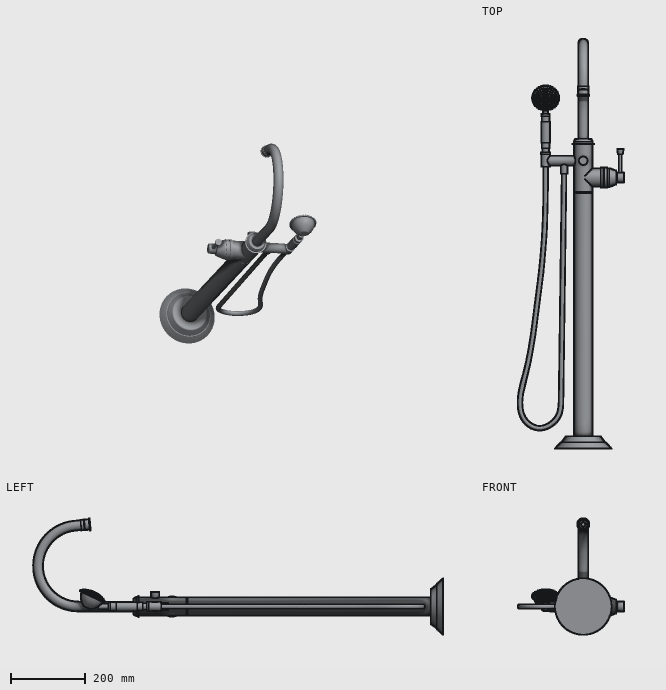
import math

import cadquery as cq

OVERALL_LENGTH = 1099.88
COLUMN_RADIUS = 25.0

BASE_RADIUS = 76.1
BASE_STEP_RADIUS = 61.0
BASE_TOP_RADIUS = 47.0
BASE_STEP_Y = 16.5
BASE_TOP_Y = 33.0
BASE_LEDGE = 2.0
BASE_EDGE_FILLET = 4.0

JOINT_Y = 684.5
JOINT_WIDTH = 4.0
JOINT_DEPTH = 0.6
FLANGE_Y = 816.0
FLANGE_THICKNESS = 2.0
FLANGE_RADIUS = 29.0
COLLAR_RADIUS = 26.0
COLLAR_TOP_RADIUS = 21.0
COLLAR_SHOULDER_Y = 823.0
COLLAR_TOP_Y = 831.0

SPOUT_RADIUS = 13.5
BEND_RADIUS = 108.7
BEND_ANGLE = 175.0
NOZZLE_LENGTH = 41.0
NOZZLE_BODY_START = 16.0
NOZZLE_BODY_RADIUS = 14.5
NOZZLE_GROOVE_START = 24.0
NOZZLE_GROOVE_END = 26.0
NOZZLE_LIP_THICKNESS = 3.0
NOZZLE_LIP_RADIUS = 16.6
AERATOR_OUTER_RADIUS = 12.0
AERATOR_HUB_RADIUS = 5.5
AERATOR_DEPTH = 3.0
AERATOR_SPOKE_WIDTH = 2.0

ARM_Y = 772.0
BUTTON_RADIUS = 11.5
BUTTON_TOP_Z = 39.5
ARM_RADIUS = 13.5
ARM_TIP_RADIUS = 10.0
ARM_TIP_LENGTH = 12.0

HANDSET_X = -101.0
HOLDER_RADIUS = 12.2
HOLDER_BOTTOM_Y = 756.0
HOLDER_RIM_Y = 790.0
HOLDER_TOP_Y = 795.0
HOLDER_RIM_RADIUS = 12.9
HANDLE_TAIL_RADIUS = 9.2
HANDLE_TAIL_Y = 806.0
HANDLE_COLLAR_RADIUS = 10.9
GRIP_RADIUS = 12.0
GRIP_BOTTOM_Y = 820.0
GRIP_TOP_Y = 876.0
HANDLE_RING_Y = 892.0
HANDLE_RING_RADIUS = 11.7
HANDLE_TOP_Y = 898.0
NECK_RADIUS = 7.0
NECK_TOP_Y = 925.0

HEAD_Y = 939.5
HEAD_Z = 29.5
HEAD_TILT = 25.0
HEAD_RADIUS = 35.3
HEAD_RIM_THICKNESS = 4.0
HEAD_BOWL_RADIUS = 32.0
HEAD_BACK_RADIUS = 10.0
HEAD_BACK_DEPTH = 36.0
HEAD_BOWL_MIDDLE_RADIUS = 24.5
HEAD_BOWL_MIDDLE_DEPTH = 23.0
HEAD_DOME_HEIGHT = 9.0
RIM_TOOTH_COUNT = 36
RIM_TOOTH_RADIUS = 1.4
JET_RADIUS = 1.3
JET_HEIGHT = 1.8
JET_RING_SPACING = 6.0
JET_RING_COUNT = 5
JETS_PER_RING_STEP = 6

VALVE_Y = 727.0
VALVE_RADIUS = 25.0
VALVE_FLANGE_START_X = 47.0
VALVE_GROOVE_START_X = 54.0
VALVE_GROOVE_END_X = 57.0
VALVE_FLANGE_END_X = 65.0
VALVE_FLANGE_RADIUS = 27.5
VALVE_DOME_RADIUS = 25.5
VALVE_DOME_START_X = 70.0
VALVE_DOME_END_X = 89.0
VALVE_DOME_END_RADIUS = 18.5
HUB_START_X = 91.0
HUB_END_X = 110.5
HUB_RADIUS = 13.7
HUB_CHAMFER = 2.0
HUB_NECK_RADIUS = 11.0

LEVER_X = 99.5
LEVER_RADIUS = 4.4
LEVER_CAP_RADIUS = 6.6
LEVER_CAP_Y = 789.0
LEVER_TIP_RADIUS = 8.6
LEVER_TIP_Y = 800.0
LEVER_TOP_Y = 804.0

HOSE_RADIUS = 6.5
OUTLET_X = -51.4
OUTLET_NUT_RADIUS = 9.6
OUTLET_NUT_Y = 737.0
HOSE_LEFT_STRAIGHT_END = (HANDSET_X, 692.0)
HOSE_RIGHT_STRAIGHT_END = (-59.6, 127.5)
HOSE_LOOP = [
    (-112.0, 482.0),
    (-124.3, 383.0),
    (-154.0, 204.0),
    (-169.6, 127.0),
    (-157.5, 77.0),
    (-119.0, 54.5),
    (-74.5, 76.0),
]

AXIS_Y = (0, 1, 0)


def revolved(profile, origin, axis, radial):
    """Solid of revolution from (distance along axis, radius) points, closed along the axis."""
    axis_vector = cq.Vector(*axis)
    radial_vector = cq.Vector(*radial)
    plane = cq.Plane(origin=origin, xDir=axis_vector, normal=axis_vector.cross(radial_vector))
    first = (profile[0][0], 0)
    last = (profile[-1][0], 0)
    outline = cq.Workplane(plane).polyline([first] + profile + [last]).close()
    return outline.revolve(360, (0, 0, 0), (1, 0, 0))


def revolved_along_y(profile, x=0.0):
    return revolved(profile, (x, 0, 0), AXIS_Y, (1, 0, 0))


def rod(start, direction, length, radius):
    return cq.Workplane(cq.Solid.makeCylinder(radius, length, cq.Vector(*start), cq.Vector(*direction)))


def make_base():
    profile = [
        (0, BASE_RADIUS),
        (BASE_STEP_Y, BASE_STEP_RADIUS),
        (BASE_STEP_Y, BASE_STEP_RADIUS - BASE_LEDGE),
        (BASE_TOP_Y, BASE_TOP_RADIUS),
    ]
    return revolved_along_y(profile).faces(">Y").edges().fillet(BASE_EDGE_FILLET)


def make_column():
    groove_radius = COLUMN_RADIUS - JOINT_DEPTH
    profile = [
        (0, COLUMN_RADIUS),
        (JOINT_Y, COLUMN_RADIUS),
        (JOINT_Y, groove_radius),
        (JOINT_Y + JOINT_WIDTH, groove_radius),
        (JOINT_Y + JOINT_WIDTH, COLUMN_RADIUS),
        (FLANGE_Y, COLUMN_RADIUS),
        (FLANGE_Y, FLANGE_RADIUS),
        (FLANGE_Y + FLANGE_THICKNESS, FLANGE_RADIUS),
        (FLANGE_Y + FLANGE_THICKNESS, COLLAR_RADIUS),
        (COLLAR_SHOULDER_Y, COLLAR_RADIUS),
        (COLLAR_TOP_Y, COLLAR_TOP_RADIUS),
    ]
    return revolved_along_y(profile)


def make_nozzle(outlet, direction, upward):
    """Outlet fitting on the end of the bend, with a spoked annular recess in its face."""
    lip_start = NOZZLE_LENGTH - NOZZLE_LIP_THICKNESS
    profile = [
        (0, SPOUT_RADIUS),
        (NOZZLE_BODY_START, SPOUT_RADIUS),
        (NOZZLE_BODY_START, NOZZLE_BODY_RADIUS),
        (NOZZLE_GROOVE_START, NOZZLE_BODY_RADIUS),
        (NOZZLE_GROOVE_START, SPOUT_RADIUS),
        (NOZZLE_GROOVE_END, SPOUT_RADIUS),
        (NOZZLE_GROOVE_END, NOZZLE_BODY_RADIUS),
        (lip_start, NOZZLE_BODY_RADIUS),
        (lip_start, NOZZLE_LIP_RADIUS),
        (NOZZLE_LENGTH, NOZZLE_LIP_RADIUS),
    ]
    nozzle = revolved(profile, outlet, direction, upward)
    floor_centre = cq.Vector(*outlet) + cq.Vector(*direction) * (NOZZLE_LENGTH - AERATOR_DEPTH)
    face = cq.Workplane(cq.Plane(origin=floor_centre, xDir=(1, 0, 0), normal=direction))
    recess = face.circle(AERATOR_OUTER_RADIUS).circle(AERATOR_HUB_RADIUS).extrude(AERATOR_DEPTH)
    spoke_length = 2 * AERATOR_OUTER_RADIUS
    spokes = face.rect(spoke_length, AERATOR_SPOKE_WIDTH).extrude(AERATOR_DEPTH)
    spokes = spokes.union(face.rect(AERATOR_SPOKE_WIDTH, spoke_length).extrude(AERATOR_DEPTH))
    return nozzle.cut(recess.cut(spokes))


def make_spout():
    bend_y = OVERALL_LENGTH - SPOUT_RADIUS - BEND_RADIUS

    def on_bend(degrees):
        angle = math.radians(degrees)
        return bend_y + BEND_RADIUS * math.sin(angle), BEND_RADIUS * (1 - math.cos(angle))

    path = (
        cq.Workplane("YZ")
        .moveTo(FLANGE_Y, 0)
        .lineTo(bend_y, 0)
        .threePointArc(on_bend(BEND_ANGLE / 2), on_bend(BEND_ANGLE))
    )
    tube = cq.Workplane("XZ", origin=(0, FLANGE_Y, 0)).circle(SPOUT_RADIUS).sweep(path)
    end_angle = math.radians(BEND_ANGLE)
    direction = (0, math.cos(end_angle), math.sin(end_angle))
    upward = (0, -math.sin(end_angle), math.cos(end_angle))
    nozzle = make_nozzle((0, *on_bend(BEND_ANGLE)), direction, upward)
    return tube.union(nozzle)


def make_button():
    return rod((0, ARM_Y, 0), (0, 0, 1), BUTTON_TOP_Z, BUTTON_RADIUS)


def make_valve():
    profile = [
        (0, VALVE_RADIUS),
        (VALVE_FLANGE_START_X, VALVE_RADIUS),
        (VALVE_FLANGE_START_X, VALVE_FLANGE_RADIUS),
        (VALVE_GROOVE_START_X, VALVE_FLANGE_RADIUS),
        (VALVE_GROOVE_START_X, VALVE_RADIUS),
        (VALVE_GROOVE_END_X, VALVE_RADIUS),
        (VALVE_GROOVE_END_X, VALVE_FLANGE_RADIUS),
        (VALVE_FLANGE_END_X, VALVE_FLANGE_RADIUS),
        (VALVE_FLANGE_END_X, VALVE_DOME_RADIUS),
        (VALVE_DOME_START_X, VALVE_DOME_RADIUS),
        (VALVE_DOME_END_X, VALVE_DOME_END_RADIUS),
        (VALVE_DOME_END_X, HUB_NECK_RADIUS),
        (HUB_START_X, HUB_NECK_RADIUS),
        (HUB_START_X, HUB_RADIUS),
        (HUB_END_X - HUB_CHAMFER, HUB_RADIUS),
        (HUB_END_X, HUB_RADIUS - HUB_CHAMFER),
    ]
    return revolved(profile, (0, VALVE_Y, 0), (1, 0, 0), AXIS_Y)


def make_lever():
    profile = [
        (VALVE_Y, LEVER_RADIUS),
        (LEVER_CAP_Y, LEVER_RADIUS),
        (LEVER_CAP_Y, LEVER_CAP_RADIUS),
        (LEVER_TIP_Y, LEVER_TIP_RADIUS),
        (LEVER_TOP_Y, LEVER_TIP_RADIUS),
    ]
    return revolved_along_y(profile, LEVER_X)


def make_handset_arm():
    """Arm from the column, tapering where it enters the holder."""
    reach = -HANDSET_X
    profile = [
        (0, ARM_RADIUS),
        (reach - ARM_TIP_LENGTH, ARM_RADIUS),
        (reach, ARM_TIP_RADIUS),
    ]
    return revolved(profile, (0, ARM_Y, 0), (-1, 0, 0), AXIS_Y)


def make_handset():
    """Holder sleeve, handle and neck, all turned about the handset axis."""
    profile = [
        (HOLDER_BOTTOM_Y, HOLDER_RADIUS),
        (HOLDER_RIM_Y, HOLDER_RADIUS),
        (HOLDER_RIM_Y, HOLDER_RIM_RADIUS),
        (HOLDER_TOP_Y, HOLDER_RIM_RADIUS),
        (HOLDER_TOP_Y, HANDLE_TAIL_RADIUS),
        (HANDLE_TAIL_Y, HANDLE_TAIL_RADIUS),
        (HANDLE_TAIL_Y, HANDLE_COLLAR_RADIUS),
        (GRIP_BOTTOM_Y, HANDLE_COLLAR_RADIUS),
        (GRIP_BOTTOM_Y, GRIP_RADIUS),
        (GRIP_TOP_Y, GRIP_RADIUS),
        (GRIP_TOP_Y, HANDLE_COLLAR_RADIUS),
        (HANDLE_RING_Y, HANDLE_COLLAR_RADIUS),
        (HANDLE_RING_Y, HANDLE_RING_RADIUS),
        (HANDLE_TOP_Y, HANDLE_RING_RADIUS),
        (HANDLE_TOP_Y, NECK_RADIUS),
        (NECK_TOP_Y, NECK_RADIUS),
    ]
    return revolved_along_y(profile, HANDSET_X)


def make_shower_head():
    """Bowl with a toothed rim and a domed face set with rings of jets."""
    dome_sphere = (HEAD_RADIUS**2 + HEAD_DOME_HEIGHT**2) / (2 * HEAD_DOME_HEIGHT)

    def dome_height(radius):
        return math.sqrt(dome_sphere**2 - radius**2) - (dome_sphere - HEAD_DOME_HEIGHT)

    middle = HEAD_RADIUS / 2
    head = (
        cq.Workplane("XZ")
        .moveTo(0, -HEAD_BACK_DEPTH)
        .lineTo(HEAD_BACK_RADIUS, -HEAD_BACK_DEPTH)
        .threePointArc(
            (HEAD_BOWL_MIDDLE_RADIUS, -HEAD_BOWL_MIDDLE_DEPTH),
            (HEAD_BOWL_RADIUS, -HEAD_RIM_THICKNESS),
        )
        .lineTo(HEAD_RADIUS, -HEAD_RIM_THICKNESS)
        .lineTo(HEAD_RADIUS, 0)
        .threePointArc((middle, dome_height(middle)), (0, HEAD_DOME_HEIGHT))
        .close()
        .revolve(360, (0, 0, 0), (0, 1, 0))
    )
    teeth = (
        cq.Workplane("XY", origin=(0, 0, -HEAD_RIM_THICKNESS))
        .polarArray(HEAD_RADIUS, 0, 360, RIM_TOOTH_COUNT)
        .circle(RIM_TOOTH_RADIUS)
        .extrude(HEAD_RIM_THICKNESS)
    )
    head = head.union(teeth)
    head = head.union(cq.Workplane("XY").circle(JET_RADIUS).extrude(HEAD_DOME_HEIGHT + JET_HEIGHT))
    for ring in range(1, JET_RING_COUNT + 1):
        ring_radius = ring * JET_RING_SPACING
        jets = (
            cq.Workplane("XY")
            .polarArray(ring_radius, 0, 360, ring * JETS_PER_RING_STEP)
            .circle(JET_RADIUS)
            .extrude(dome_height(ring_radius) + JET_HEIGHT)
        )
        head = head.union(jets)
    return head.rotate((0, 0, 0), (1, 0, 0), HEAD_TILT).translate((HANDSET_X, HEAD_Y, HEAD_Z))


def make_hose():
    """Hose from the holder down round a loop and up to the outlet under the arm."""
    path = (
        cq.Workplane("XY")
        .moveTo(HANDSET_X, HOLDER_BOTTOM_Y)
        .lineTo(*HOSE_LEFT_STRAIGHT_END)
        .spline(
            HOSE_LOOP + [HOSE_RIGHT_STRAIGHT_END],
            tangents=[
                (0, -1),
                (OUTLET_X - HOSE_RIGHT_STRAIGHT_END[0], OUTLET_NUT_Y - HOSE_RIGHT_STRAIGHT_END[1]),
            ],
            includeCurrent=True,
        )
        .lineTo(OUTLET_X, OUTLET_NUT_Y)
    )
    section = cq.Workplane("XZ", origin=(HANDSET_X, HOLDER_BOTTOM_Y, 0)).circle(HOSE_RADIUS)
    hose = section.sweep(path, transition="round")
    nut = rod((OUTLET_X, OUTLET_NUT_Y, 0), AXIS_Y, ARM_Y - OUTLET_NUT_Y, OUTLET_NUT_RADIUS)
    return hose.union(nut)


result = make_column()
for feature in (
    make_base(),
    make_spout(),
    make_button(),
    make_valve(),
    make_lever(),
    make_handset_arm(),
    make_handset(),
    make_shower_head(),
    make_hose(),
):
    result = result.union(feature)